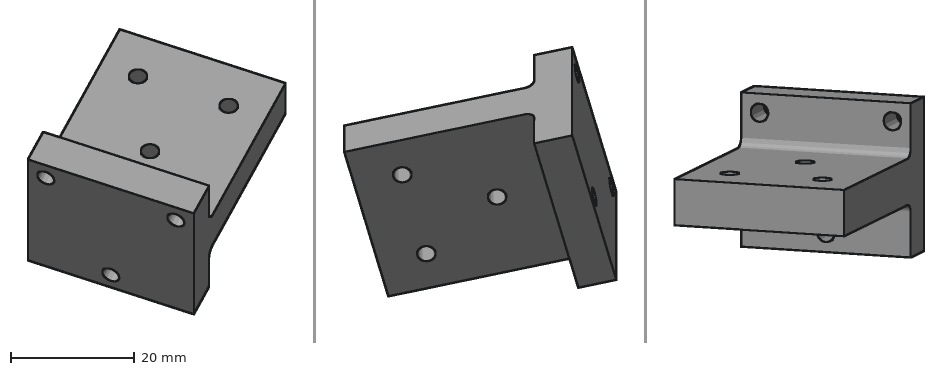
import cadquery as cq

width = 29.22
length = 38.1
height = 25.4

flange_thickness = 6.35
shelf_thickness = 7.62
fillet_radius = 1.6

hole_diameter = 2.97
flange_hole_inset = 3.15
shelf_hole_spacing = 15.95
rear_hole_inset = 8.05
shelf_row_spacing = 13.83

flange_hole_x = width / 2 - flange_hole_inset
flange_hole_z = height / 2 - flange_hole_inset
rear_hole_y = length - rear_hole_inset
front_hole_y = rear_hole_y - shelf_row_spacing


def make_body():
    """T-shaped body with its front face on Y = 0, centred in X and Z."""
    flange = cq.Workplane("XY").box(width, flange_thickness, height, centered=(True, False, True))
    shelf = cq.Workplane("XY").box(width, length, shelf_thickness, centered=(True, False, True))
    inner_corners = cq.selectors.BoxSelector(
        (-width, flange_thickness - 0.4, -shelf_thickness / 2 - 0.4),
        (width, flange_thickness + 0.4, shelf_thickness / 2 + 0.4),
    )
    return flange.union(shelf).edges("|X").edges(inner_corners).fillet(fillet_radius)


def flange_holes():
    """Cutters through the flange: two at the top corners, one at bottom centre."""
    centers = [
        (-flange_hole_x, flange_hole_z),
        (flange_hole_x, flange_hole_z),
        (0, -flange_hole_z),
    ]
    return cq.Workplane("XZ").pushPoints(centers).circle(hole_diameter / 2).extrude(-flange_thickness)


def shelf_holes():
    """Cutters through the shelf: a rear pair and one centred hole nearer the flange."""
    centers = [
        (-shelf_hole_spacing / 2, rear_hole_y),
        (shelf_hole_spacing / 2, rear_hole_y),
        (0, front_hole_y),
    ]
    cutters = cq.Workplane("XY").pushPoints(centers).circle(hole_diameter / 2)
    return cutters.extrude(shelf_thickness / 2, both=True)


result = make_body().cut(flange_holes()).cut(shelf_holes())